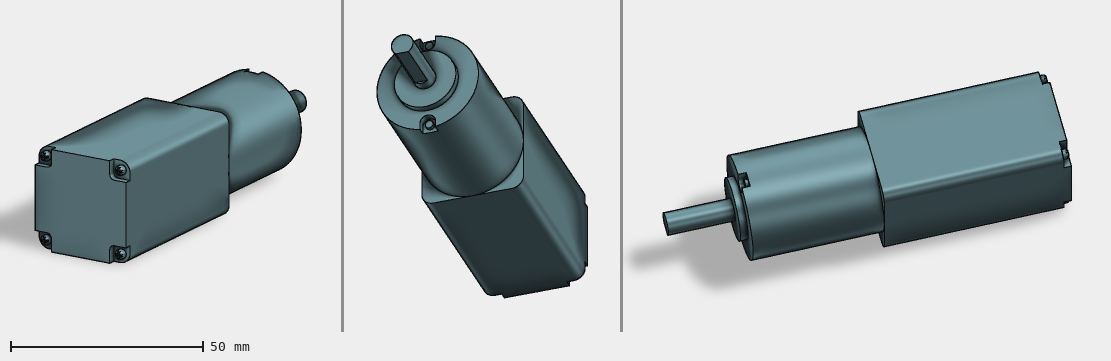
import cadquery as cq

total_length = 105.4
motor_length = 50.3
shaft_length = 17.9
pilot_length = 2.0
gearbox_length = total_length - motor_length - pilot_length - shaft_length

body_width = 28.0
motor_corner_radius = 3.2
pilot_diameter = 17.0
shaft_diameter = 6.0
shaft_across_flat = 5.5
flat_length = 15.1

corner_pocket_width = 5.1
corner_pocket_radius = 1.5
corner_pocket_depth = 2.0
motor_screw_offset = 11.5

notch_width = 4.2
notch_depth = 2.2
notch_center_offset = 12.0
gearbox_screw_diameter = 2.2
gearbox_screw_height = 1.0

screw_diameter = 2.6
screw_height = 1.8
screw_edge_radius = 0.8
recess_length = 1.9
recess_width = 0.5
recess_depth = 0.7

half_width = body_width / 2
motor_front = motor_length
gearbox_front = motor_front + gearbox_length
pilot_front = gearbox_front + pilot_length


def section_at(y):
    """Sketch plane facing +Y at distance y from the back; its local x is X, its local y is -Z."""
    return cq.Workplane(cq.Plane(origin=(0, y, 0), xDir=(1, 0, 0), normal=(0, 1, 0)))


def cylinder(diameter, start, length):
    return section_at(start).circle(diameter / 2).extrude(length)


def motor_body():
    body = section_at(0).rect(body_width, body_width).extrude(motor_length)
    return body.edges("|Y").fillet(motor_corner_radius)


def output_shaft():
    shaft = cylinder(shaft_diameter, pilot_front, shaft_length)
    flat_cut = cq.Workplane("XY").box(
        shaft_diameter, flat_length, shaft_diameter, centered=(True, False, False)
    )
    flat_top = shaft_diameter / 2 - shaft_across_flat
    return shaft.cut(flat_cut.translate((0, total_length - flat_length, flat_top - shaft_diameter)))


def corner_pocket(side_x, side_z):
    """Rounded square pocket that opens onto the corner of the motor's back face."""
    pocket_size = 2 * corner_pocket_width
    pocket = section_at(0).rect(pocket_size, pocket_size).extrude(corner_pocket_depth)
    pocket = pocket.edges("|Y").fillet(corner_pocket_radius)
    return pocket.translate((side_x * half_width, 0, side_z * half_width))


def motor_screw():
    """Screw head centred on the Y axis, standing on the pocket floor and facing -Y."""
    top_y = corner_pocket_depth - screw_height
    head = cylinder(screw_diameter, top_y, screw_height)
    head = head.faces("<Y").edges().fillet(screw_edge_radius)
    for size_x, size_z in ((recess_length, recess_width), (recess_width, recess_length)):
        head = head.cut(section_at(top_y).rect(size_x, size_z).extrude(recess_depth))
    return head


def gearbox_notch():
    """U-shaped notch cut into the front rim of the gearbox at +Z."""
    start = gearbox_front - notch_depth
    round_end = cylinder(notch_width, start, notch_depth).translate((0, 0, notch_center_offset))
    opening = cq.Workplane("XY").box(
        notch_width, notch_depth, half_width, centered=(True, False, False)
    )
    return round_end.union(opening.translate((0, start, notch_center_offset)))


def gearbox_screw():
    screw = cylinder(gearbox_screw_diameter, gearbox_front - notch_depth, gearbox_screw_height)
    return screw.translate((0, 0, notch_center_offset))


result = (
    motor_body()
    .union(cylinder(body_width, motor_front, gearbox_length))
    .union(cylinder(pilot_diameter, gearbox_front, pilot_length))
    .union(output_shaft())
)

for side_x in (-1, 1):
    for side_z in (-1, 1):
        result = result.cut(corner_pocket(side_x, side_z))
        screw_position = (side_x * motor_screw_offset, 0, side_z * motor_screw_offset)
        result = result.union(motor_screw().translate(screw_position))

for angle in (0, 180):
    result = result.cut(gearbox_notch().rotate((0, 0, 0), (0, 1, 0), angle))
    result = result.union(gearbox_screw().rotate((0, 0, 0), (0, 1, 0), angle))